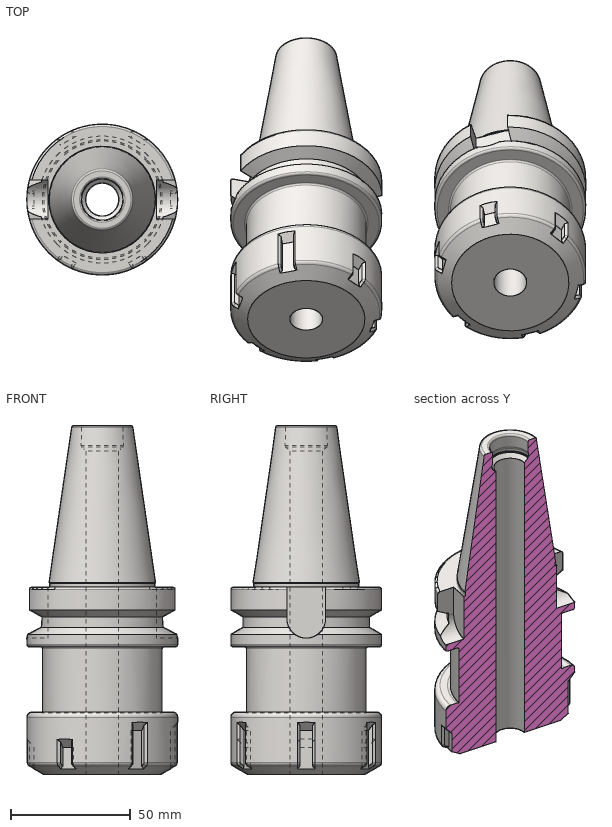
import cadquery as cq
import math

total_height = 145.4
flange_diameter = 63.0
flange_radius = flange_diameter / 2

gauge_z = 80.0
gauge_radius = 22.2
taper_ratio = 7 / 24
taper_tip_round = 0.9
neck_step = 0.3
neck_radius = gauge_radius - neck_step
neck_round = 0.3

flange_top_z = 78.1
flange_bottom_z = 53.2
groove_middle_z = 63.5
groove_mouth = 10.2
groove_floor_radius = 26.5
groove_side_angle = 30.0
flange_round = 1.0

drive_slot_width = 16.1
drive_slot_floor = 22.7
drive_slot_bottom_z = 56.9

shank_radius = 25.0
shank_round = 0.7

nut_height = 26.0
nut_radius = flange_radius
nut_face_radius = 24.4
nut_cone_angle = 30.0
nut_top_round = 2.2
nut_bottom_round = 1.7
nut_mouth_radius = 26.2
nut_mouth_depth = 0.3
nut_mouth_floor_z = nut_height - nut_mouth_depth

slot_width = 5.2
slot_floor_radius = 28.4
slot_edge_break = 1.0
slot_runout_angle = 48.0
runout_reach = 1.5
short_slot_top_z = 14.8
tall_slot_top_z = 21.8
tall_slot_angles = (-60, 0, 60)
short_slot_angles = (120, 180, 240)

bore_radius = 6.8
counterbore_radius = 8.6
counterbore_bottom_z = 136.5
counterbore_mouth_round = 0.9
relief_depth = 0.3
relief_top_z = 139.3
relief_slope_height = 1.0
relief_bottom_z = 137.1

match_tolerance = 0.01
level_tolerance = 0.1


def revolve_profile(points):
    """Solid of revolution about Z from (radius, z) points."""
    return cq.Workplane("XZ").polyline(points).close().revolve(360, (0, 0), (0, 1))


def round_rim(solid, radius, z, fillet):
    """Round the circular edge found at the given radius and height."""
    def is_rim(edge):
        if edge.geomType() != "CIRCLE":
            return False
        same_radius = abs(edge.radius() - radius) < match_tolerance
        same_height = abs(edge.Center().z - z) < match_tolerance
        return same_radius and same_height

    return solid.edges().filter(is_rim).fillet(fillet)


def make_holder():
    """Taper, neck, grooved flange and shank."""
    tip_radius = gauge_radius - (total_height - gauge_z) * taper_ratio / 2
    neck_top_z = gauge_z - neck_step
    half_mouth = groove_mouth / 2
    groove_depth = flange_radius - groove_floor_radius
    half_floor = half_mouth - groove_depth * math.tan(math.radians(groove_side_angle))
    holder = revolve_profile([
        (0, nut_mouth_floor_z),
        (shank_radius, nut_mouth_floor_z),
        (shank_radius, flange_bottom_z),
        (flange_radius, flange_bottom_z),
        (flange_radius, groove_middle_z - half_mouth),
        (groove_floor_radius, groove_middle_z - half_floor),
        (groove_floor_radius, groove_middle_z + half_floor),
        (flange_radius, groove_middle_z + half_mouth),
        (flange_radius, flange_top_z),
        (neck_radius, flange_top_z),
        (neck_radius, neck_top_z),
        (gauge_radius, gauge_z),
        (tip_radius, total_height),
        (0, total_height),
    ])
    holder = round_rim(holder, tip_radius, total_height, taper_tip_round)
    holder = round_rim(holder, neck_radius, flange_top_z, neck_round)
    holder = round_rim(holder, flange_radius, flange_top_z, flange_round)
    holder = round_rim(holder, flange_radius, flange_bottom_z, flange_round)
    return round_rim(holder, shank_radius, flange_bottom_z, shank_round)


def make_drive_slots():
    """Two round-bottomed slots, open upward, on the +X and -X sides."""
    end_radius = drive_slot_width / 2
    end_z = drive_slot_bottom_z + end_radius
    outline = (
        cq.Workplane("YZ", origin=(drive_slot_floor, 0, 0))
        .moveTo(-end_radius, flange_top_z)
        .lineTo(-end_radius, end_z)
        .threePointArc((0, drive_slot_bottom_z), (end_radius, end_z))
        .lineTo(end_radius, flange_top_z)
        .close()
    )
    right_slot = outline.extrude(flange_radius - drive_slot_floor)
    return right_slot.union(right_slot.mirror("YZ"))


def make_nut_blank():
    """Clamping nut with a conical front face, before its top and slots are shaped."""
    cone_top_z = (nut_radius - nut_face_radius) * math.tan(math.radians(nut_cone_angle))
    blank = revolve_profile([
        (0, 0),
        (nut_face_radius, 0),
        (nut_radius, cone_top_z),
        (nut_radius, nut_height),
        (nut_mouth_radius, nut_height),
        (shank_radius, nut_mouth_floor_z),
        (0, nut_mouth_floor_z),
    ])
    return round_rim(blank, nut_radius, cone_top_z, nut_bottom_round)


def make_slot_groove(blank):
    """Material of a +X groove along the whole nut side, with broken mouth edges."""
    groove = (
        cq.Workplane("XY", origin=(slot_floor_radius, 0, 0))
        .rect(nut_radius, slot_width, centered=(False, True))
        .extrude(nut_height)
    )

    def is_mouth_edge(edge):
        middle = edge.positionAt(0.5)
        on_outside = middle.x > slot_floor_radius + match_tolerance
        on_groove_wall = abs(abs(middle.y) - slot_width / 2) < match_tolerance
        is_level = abs(edge.tangentAt(0.5).z) < level_tolerance
        return on_outside and on_groove_wall and not is_level

    grooved = blank.cut(groove).edges().filter(is_mouth_edge).chamfer(slot_edge_break)
    return blank.cut(grooved)


def make_runout_limit(top_z):
    """Region below a sloping run-out that meets the nut's outside at top_z."""
    inner_radius = slot_floor_radius - runout_reach
    outer_radius = nut_radius + runout_reach
    runout_slope = math.tan(math.radians(slot_runout_angle))
    return (
        cq.Workplane("XZ")
        .polyline([
            (inner_radius, 0),
            (outer_radius, 0),
            (outer_radius, top_z + (outer_radius - nut_radius) * runout_slope),
            (inner_radius, top_z - (nut_radius - inner_radius) * runout_slope),
        ])
        .close()
        .extrude(slot_width, both=True)
    )


def make_nut():
    """Clamping nut with a rounded top edge and its wrench slots."""
    blank = make_nut_blank()
    groove = make_slot_groove(blank)
    nut = round_rim(blank, nut_radius, nut_height, nut_top_round)
    for top_z, angles in ((tall_slot_top_z, tall_slot_angles), (short_slot_top_z, short_slot_angles)):
        slot = groove.intersect(make_runout_limit(top_z))
        for angle in angles:
            nut = nut.cut(slot.rotate((0, 0, 0), (0, 0, 1), angle))
    return nut


def make_bore():
    """Through bore and its relieved counterbore, joined by a 45 degree step."""
    relief_radius = counterbore_radius + relief_depth
    step_height = counterbore_radius - bore_radius
    return revolve_profile([
        (0, 0),
        (bore_radius, 0),
        (bore_radius, counterbore_bottom_z - step_height),
        (counterbore_radius, counterbore_bottom_z),
        (counterbore_radius, relief_bottom_z),
        (relief_radius, relief_bottom_z),
        (relief_radius, relief_top_z - relief_slope_height),
        (counterbore_radius, relief_top_z),
        (counterbore_radius, total_height),
        (0, total_height),
    ])


holder = make_holder().cut(make_drive_slots())
body = holder.union(make_nut()).cut(make_bore())
result = round_rim(body, counterbore_radius, total_height, counterbore_mouth_round)